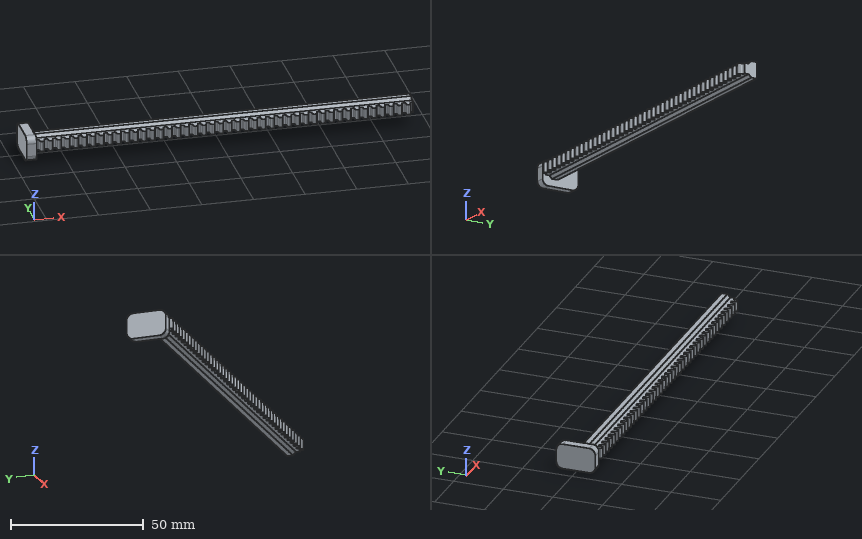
import cadquery as cq

total_length = 150.0

head_length = 3.9
head_width = 15.8
head_height = 10.2
head_corner_radius = 2.5

tooth_tip_overhang = 0.6
tooth_height = 2.0
bar_depth = 5.2
bar_height = 6.6
bar_bottom = -2.1
bar_chamfer = 1.2
tooth_land = 1.6

tooth_count = 44
tooth_pitch = 3.3
tooth_root_width = 2.1
tooth_tip_width = 1.5
tooth_tip_radius = 0.6
tooth_root_radius = 0.3

tip_y = -head_width / 2 - tooth_tip_overhang
root_y = tip_y + tooth_height
bar_back_y = root_y + bar_depth
chamfer_front_y = root_y + tooth_land
bar_top = bar_bottom + bar_height
tooth_bottom = bar_bottom + bar_chamfer
tooth_top = bar_top - bar_chamfer
teeth_span = (tooth_count - 1) * tooth_pitch
first_tooth_x = (head_length + total_length - teeth_span) / 2


def make_head():
    """Flat plate with its four long corners rounded."""
    plate = cq.Workplane("XY").box(head_length, head_width, head_height, centered=(False, True, True))
    return plate.edges("|X").fillet(head_corner_radius)


def make_bar():
    """Bar whose front narrows through two chamfers to the height of the teeth."""
    section = [
        (bar_back_y, bar_bottom),
        (chamfer_front_y + bar_chamfer, bar_bottom),
        (chamfer_front_y, tooth_bottom),
        (chamfer_front_y, tooth_top),
        (chamfer_front_y + bar_chamfer, bar_top),
        (bar_back_y, bar_top),
    ]
    return cq.Workplane("YZ").polyline(section).close().extrude(total_length)


def make_teeth():
    """Row of tapered teeth with rounded tip corners and fillets down to the root strip."""
    half_root = tooth_root_width / 2
    half_tip = tooth_tip_width / 2
    outline = cq.Workplane("XY", origin=(0, 0, tooth_bottom)).moveTo(head_length, chamfer_front_y)
    outline = outline.lineTo(head_length, root_y)
    for index in range(tooth_count):
        x = first_tooth_x + index * tooth_pitch
        outline = (
            outline.lineTo(x - half_root, root_y)
            .lineTo(x - half_tip, tip_y)
            .lineTo(x + half_tip, tip_y)
            .lineTo(x + half_root, root_y)
        )
    outline = outline.lineTo(total_length, root_y).lineTo(total_length, chamfer_front_y).close()
    rack = outline.extrude(tooth_top - tooth_bottom)

    rack = rack.faces("<Y").edges("|Z").fillet(tooth_tip_radius)
    root_box = cq.selectors.BoxSelector(
        (first_tooth_x - tooth_pitch / 2, root_y - tooth_root_radius, tooth_bottom),
        (total_length - tooth_root_radius, root_y + tooth_root_radius, tooth_top),
    )
    return rack.edges(root_box).edges("|Z").fillet(tooth_root_radius)


result = make_head().union(make_bar()).union(make_teeth())